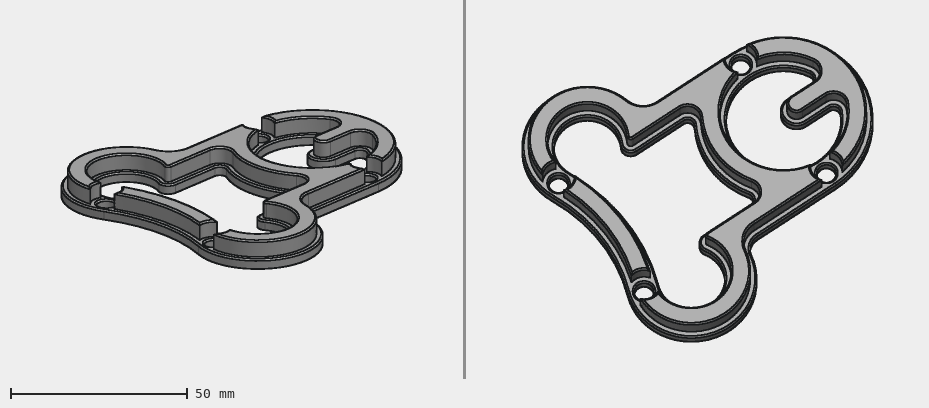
import cadquery as cq
import math


def triangle_side(hypotenuse, side):
    """Second leg of a right triangle."""
    return math.sqrt(hypotenuse**2 - side**2)


overall_width = 87.5
overall_length = 94.0
overall_height = 8.0
base_height = 3.0
edge_chamfer = 0.5

band_width = 5.45
ledge = 1.8

ring_mid_radius = 20.8
lobe_mid_radius = 14.0
half_band = band_width / 2
ring_outer = ring_mid_radius + half_band
ring_inner = ring_mid_radius - half_band
lobe_outer = lobe_mid_radius + half_band
lobe_inner = lobe_mid_radius - half_band
lobe_x = overall_width / 2 - lobe_outer - ledge
lobe_y = ring_outer + lobe_outer + 2 * ledge - overall_length
lobe_center = (-lobe_x, lobe_y)

bridge_mid_y = -59.2
bridge_rise = lobe_y - bridge_mid_y
bridge_mid_radius = (lobe_x**2 + bridge_rise**2 - lobe_mid_radius**2) / (2 * (lobe_mid_radius - bridge_rise))
bridge_center = (0, bridge_mid_y - bridge_mid_radius)

tongue_half_width = half_band
tongue_round_y = tongue_half_width + ledge

neck_fillet = 6.8
window_fillet = 3.8
leg_tip_round = 1.0

hole_diameter = 5.5
relief_radius = 4.5
hole_x = ring_mid_radius
lower_hole_y = lobe_y - triangle_side(lobe_mid_radius, lobe_x - hole_x)
hole_points = [(side * hole_x, y) for side in (-1, 1) for y in (0, lower_hole_y)]


def toward(center, target, radius):
    """Point at the given radius from center, in the direction of target."""
    dx = target[0] - center[0]
    dy = target[1] - center[1]
    scale = radius / math.hypot(dx, dy)
    return (center[0] + dx * scale, center[1] + dy * scale)


def arc_middle(center, start, end):
    """Middle of the shorter arc from start to end around center."""
    chord_middle = ((start[0] + end[0]) / 2, (start[1] + end[1]) / 2)
    return toward(center, chord_middle, math.dist(center, start))


def mirrored(point):
    return (-point[0], point[1])


def symmetric_prism(first_axis_point, start, left_side, last_axis_point, height):
    """Prism that is symmetric about the YZ plane.

    left_side lists (through, end) pairs, with through set to None for a straight line.
    Arcs through the two axis points join the left side to its mirror image.
    """
    ends = [start] + [end for _, end in left_side]
    right_side = [
        (through and mirrored(through), mirrored(previous_end))
        for (through, _), previous_end in zip(left_side, ends)
    ]
    segments = left_side + [(last_axis_point, mirrored(ends[-1]))] + right_side[::-1]
    outline = cq.Workplane("XY").moveTo(*start)
    for through, end in segments:
        if through is None:
            outline = outline.lineTo(*end)
        else:
            outline = outline.threePointArc(through, end)
    return outline.threePointArc(first_axis_point, start).close().extrude(height)


def outer_prism(grow, height):
    """Filled outer shape, moved outward by grow."""
    ring = ring_outer + grow
    lobe = lobe_outer + grow
    neck = neck_fillet - grow
    bridge = bridge_mid_radius - half_band - grow
    neck_x = -ring - neck
    neck_center = (neck_x, lobe_y + triangle_side(lobe + neck, neck_x + lobe_x))
    neck_start = (-ring, neck_center[1])
    neck_end = toward(neck_center, lobe_center, neck)
    lobe_end = toward(lobe_center, bridge_center, lobe)
    lobe_side = toward(lobe_center, (-overall_width, lobe_y - lobe_x), lobe)
    bridge_middle = (0, bridge_center[1] + bridge)
    left_side = [
        (None, neck_start),
        (arc_middle(neck_center, neck_start, neck_end), neck_end),
        (lobe_side, lobe_end),
    ]
    return symmetric_prism((0, ring), (-ring, 0), left_side, bridge_middle, height)


def ring_bore(grow, height):
    """Bore of the ring with the tongue left standing; grow shrinks the bore."""
    bore = ring_inner - grow
    tongue = tongue_half_width + grow
    corner = window_fillet - grow
    corner_x = -tongue - corner
    corner_center = (corner_x, triangle_side(bore - corner, corner_x))
    corner_start = (-tongue, corner_center[1])
    corner_end = toward((0, 0), corner_center, bore)
    tongue_tip = (0, tongue_round_y - tongue)
    tongue_start = (-tongue, tongue_round_y)
    left_side = [
        (None, corner_start),
        (toward(corner_center, (0, overall_length), corner), corner_end),
    ]
    return symmetric_prism(tongue_tip, tongue_start, left_side, (0, -bore), height)


def lower_window(grow, height):
    """Opening between ring, legs, lobes and bridge; grow shrinks the opening."""
    ring = ring_outer + grow
    leg_x = -ring_inner + grow
    lobe = lobe_inner - grow
    bridge = bridge_mid_radius + half_band + grow
    corner = window_fillet - grow
    tip = leg_tip_round + grow
    corner_x = leg_x + corner
    corner_center = (corner_x, -triangle_side(ring + corner, corner_x))
    corner_start = toward(corner_center, (0, 0), corner)
    corner_end = (leg_x, corner_center[1])
    corner_side = toward(corner_center, (corner_x - 0.9, corner_center[1] + 0.9), corner)
    tip_x = leg_x - tip
    tip_center = (tip_x, lobe_y + triangle_side(lobe + tip, tip_x + lobe_x))
    tip_start = (leg_x, tip_center[1])
    tip_end = toward(tip_center, lobe_center, tip)
    lobe_end = toward(lobe_center, bridge_center, lobe)
    bridge_middle = (0, bridge_center[1] + bridge)
    left_side = [
        (corner_side, corner_end),
        (None, tip_start),
        (arc_middle(tip_center, tip_start, tip_end), tip_end),
        ((-lobe_x - lobe, lobe_y), lobe_end),
    ]
    return symmetric_prism((0, -ring), corner_start, left_side, bridge_middle, height)


def plate(grow, height, hole_radius):
    """Plate with both openings, round holes and a chamfered top."""
    body = outer_prism(grow, height).cut(ring_bore(grow, height)).cut(lower_window(grow, height))
    holes = cq.Workplane("XY").pushPoints(hole_points).circle(hole_radius).extrude(height)
    return body.cut(holes).faces(">Z").chamfer(edge_chamfer)


base = plate(ledge, base_height, hole_diameter / 2)
wall = plate(0, overall_height, relief_radius)
result = base.union(wall)